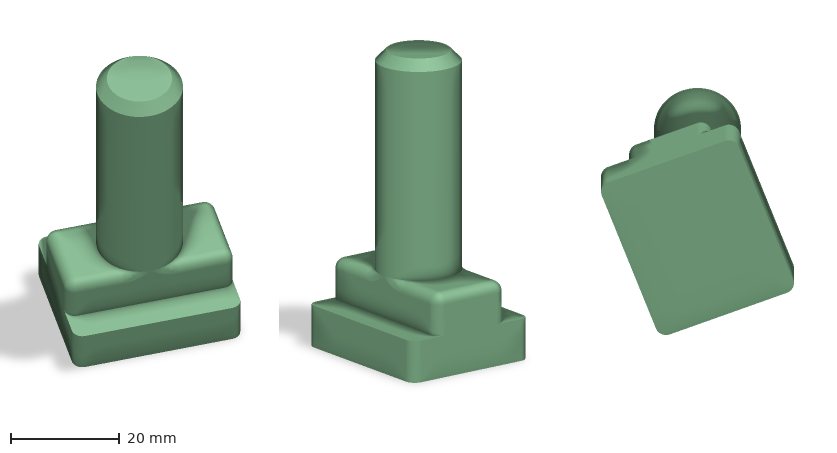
import cadquery as cq
import math

head_width = 27.0
head_length = 32.0
flange_height = 8.0
neck_height = 8.0
shank_diameter = 16.0
total_height = 58.0
edge_radius = 2.0
tip_chamfer = 2.0

neck_width = shank_diameter
neck_side = neck_width / 2
neck_top = flange_height + neck_height
shank_radius = shank_diameter / 2

round_inner_x = neck_side - edge_radius
round_lower_z = neck_top - edge_radius
runout_length = math.sqrt(shank_radius**2 - round_inner_x**2)

join_tolerance = 0.005
on_base = (True, True, False)


def make_flange():
    """Wide lower plate of the head with rounded vertical corners."""
    flange = cq.Workplane("XY").box(head_width, head_length, flange_height, centered=on_base)
    return flange.edges("|Z").fillet(edge_radius)


def make_runout_cutter():
    """Sliver outside the round runout at +X +Y, tapering to where the shank meets the neck side."""
    tip = cq.Vector(neck_side, 0, neck_top)
    corner = cq.Vector(neck_side, runout_length, neck_top)
    inner = cq.Vector(round_inner_x, runout_length, neck_top)
    lower = cq.Vector(neck_side, runout_length, round_lower_z)

    half_angle = math.atan2(runout_length, round_inner_x) / 2
    shank_middle = cq.Vector(
        shank_radius * math.cos(half_angle), shank_radius * math.sin(half_angle), neck_top
    )
    diagonal = edge_radius * math.cos(math.pi / 4)
    round_middle = cq.Vector(round_inner_x + diagonal, runout_length, round_lower_z + diagonal)

    ridge = cq.Edge.makeLine(tip, corner)
    across = cq.Edge.makeLine(corner, inner)
    down = cq.Edge.makeLine(corner, lower)
    shank_arc = cq.Edge.makeThreePointArc(tip, shank_middle, inner)
    round_arc = cq.Edge.makeThreePointArc(inner, round_middle, lower)
    side_arc = cq.Edge.makeTangentArc(lower, cq.Vector(0, -1, 0), tip)

    faces = [
        cq.Face.makeFromWires(cq.Wire.assembleEdges([ridge, across, shank_arc])),
        cq.Face.makeFromWires(cq.Wire.assembleEdges([ridge, down, side_arc])),
        cq.Face.makeFromWires(cq.Wire.assembleEdges([across, round_arc, down])),
        cq.Face.makeNSidedSurface([shank_arc, round_arc, side_arc], []),
    ]
    return cq.Workplane(cq.Solid.makeSolid(cq.Shell.makeShell(faces)))


def make_neck():
    """Narrow upper block of the head; its long top rounds fade out beside the shank."""
    base = cq.Workplane("XY").workplane(offset=flange_height)
    neck = base.box(neck_width, head_length, neck_height, centered=on_base)
    neck = neck.edges("|Z or >Z").fillet(edge_radius)
    neck = neck.union(base.box(neck_width, 2 * runout_length, neck_height, centered=on_base))

    cutter = make_runout_cutter()
    for side_cutter in (cutter, cutter.mirror("YZ")):
        neck = neck.cut(side_cutter, tol=join_tolerance)
        neck = neck.cut(side_cutter.mirror("XZ"), tol=join_tolerance)
    return neck


def make_shank():
    """Round shank as wide as the neck, standing on the neck and chamfered at its tip."""
    shank = (
        cq.Workplane("XY")
        .workplane(offset=neck_top)
        .circle(shank_radius)
        .extrude(total_height - neck_top)
    )
    return shank.faces(">Z").edges().chamfer(tip_chamfer)


head = make_flange().union(make_neck(), tol=join_tolerance)
bolt = head.union(make_shank(), tol=join_tolerance)
result = cq.Workplane(bolt.solids().val())